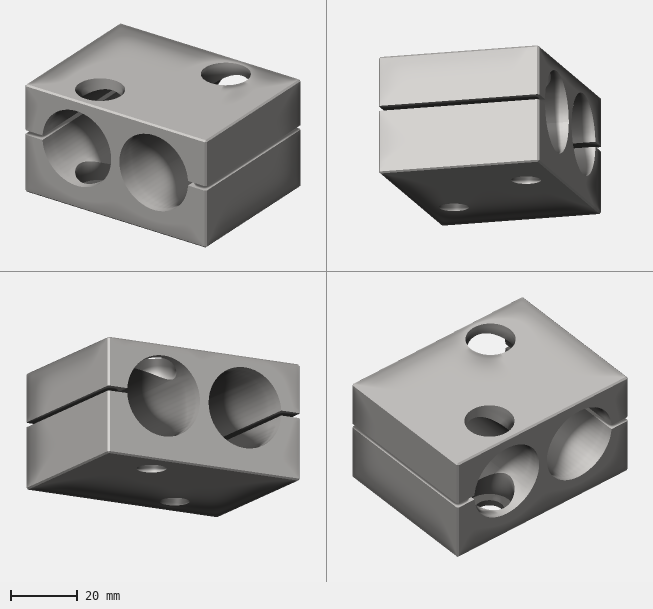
import cadquery as cq

length = 66.0
width = 50.0
height = 36.0
edge_chamfer = 0.5

bore_diameter = 25.0
bore_spacing = 28.0
bore_height = 20.0

slit_gap = 1.5

screw_x = 12.5
screw_y = 15.0
screw_diameter = 9.0
counterbore_diameter = 15.0
counterbore_floor = 2.0


def make_block():
    block = cq.Workplane("XY").box(length, width, height, centered=(True, True, False))
    return block.edges().chamfer(edge_chamfer)


def tube_bore(x):
    return (
        cq.Workplane("XZ", origin=(x, width / 2, bore_height))
        .circle(bore_diameter / 2)
        .extrude(width)
    )


def end_slit(side):
    """Slit from the end face on the given side (-1 or 1) to the bore axis."""
    slit_length = (length - bore_spacing) / 2
    slit_x = side * (length - slit_length) / 2
    return cq.Workplane("XY").box(slit_length, width, slit_gap).translate((slit_x, 0, bore_height))


def screw_hole(x, y):
    shank = cq.Workplane("XY").center(x, y).circle(screw_diameter / 2).extrude(height)
    head = (
        cq.Workplane("XY", origin=(x, y, counterbore_floor))
        .circle(counterbore_diameter / 2)
        .extrude(height - counterbore_floor)
    )
    return shank.union(head)


result = make_block()
for side in (-1, 1):
    result = result.cut(tube_bore(side * bore_spacing / 2))
    result = result.cut(end_slit(side))
    result = result.cut(screw_hole(side * screw_x, side * screw_y))